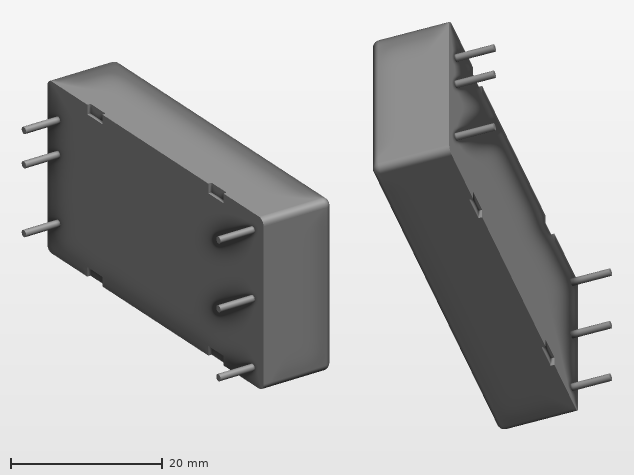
import cadquery as cq

length = 50.8
height = 25.4
depth = 11.0
edge_radius = 1.0

pin_diameter = 1.0
pin_length = 5.5
pin_pitch = 2.55
pin_column_x = 9 * pin_pitch
left_pin_rows = (3, 1, -3)
right_pin_rows = (4, 0, -4)

notch_width = 3.55
notch_height = 1.4
notch_depth = 0.5
notch_offset_x = 14.2


def make_case():
    case = cq.Workplane("XY").box(length, depth, height).translate((0, depth / 2, 0))
    return case.edges("|Y").fillet(edge_radius).faces(">Y").edges().fillet(edge_radius)


def make_notch(side_x, side_z):
    """Shallow recess where the pin face meets the upper or lower wall."""
    center = (
        side_x * notch_offset_x,
        notch_depth / 2,
        side_z * (height - notch_height) / 2,
    )
    return cq.Workplane("XY").box(notch_width, notch_depth, notch_height).translate(center)


def make_pins(x, rows):
    """Column of round pins standing on the pin face."""
    positions = [(x, row * pin_pitch) for row in rows]
    return cq.Workplane("XZ").pushPoints(positions).circle(pin_diameter / 2).extrude(pin_length)


result = make_case()
for side_x in (-1, 1):
    for side_z in (-1, 1):
        result = result.cut(make_notch(side_x, side_z))
result = result.union(make_pins(-pin_column_x, left_pin_rows))
result = result.union(make_pins(pin_column_x, right_pin_rows))